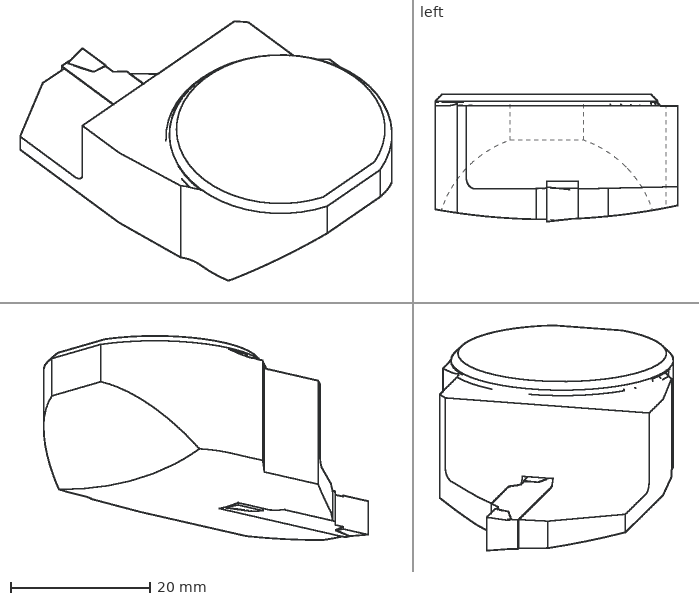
import cadquery as cq
import math


total_height = 18.35
body_top = 16.65
disc_radius = 16.0
disc_chamfer = 1.0
flat_x = 15.1
root_flare = 0.5
flare_overlap = 0.55

wall_x = -21.5
block_back_y = 12.8
front_y = -18.85
blade_tip_x = -40.05
relief_start_z = 11.8
neck_x = -3.0
neck_y = -17.1
bottom_radius = 89.75
bottom_low_z = 0.35
ledge_z = 4.7
ledge_rise = 0.35
ledge_fillet = 1.55

insert_tip_x = -41.0
insert_half_length = 12.5
insert_front_y = -4.55
insert_bulge_y = 1.45
bulge_half_outer = 6.15
bulge_half_inner = 4.8
insert_top = 4.8
pocket_roof_z = 5.85
tip_setback = 0.4
tip_break_y = -3.05
tip_length = 4.8
tip_inner_length = 4.45
tip_inner_y = -2.0
tip_corner_length = 0.7
tip_corner_y = -3.5
tip_high_z = 5.0
tip_drop = 0.5
insert_mid_x = insert_tip_x + insert_half_length

margin = 5.6
x_start = insert_tip_x - margin
x_span = flat_x - x_start + margin


def under_arc_space():
    """Cylinder whose underside is the curved bottom of the holder and insert."""
    return (
        cq.Workplane("YZ", origin=(x_start, 0, 0))
        .center(0, bottom_low_z + bottom_radius)
        .circle(bottom_radius)
        .extrude(x_span)
    )


def insert_prism(bottom, top):
    """Plan outline of the double-ended insert, extruded between two heights."""
    half_length = insert_half_length
    shoulder = half_length - tip_setback
    outline = [
        (-half_length, 0),
        (-bulge_half_outer, 0),
        (-bulge_half_inner, insert_bulge_y),
        (bulge_half_inner, insert_bulge_y),
        (bulge_half_outer, 0),
        (half_length, 0),
        (shoulder, tip_break_y),
        (shoulder, insert_front_y),
        (-shoulder, insert_front_y),
        (-shoulder, tip_break_y),
    ]
    return (
        cq.Workplane("XY", origin=(insert_mid_x, 0, bottom))
        .polyline(outline)
        .close()
        .extrude(top - bottom)
    )


def holder_blank():
    """Plan outline of the block and blade, up to the block top."""
    neck_drop = -disc_radius - neck_y
    neck_radius = (neck_x**2 + neck_drop**2) / (2 * neck_drop)
    neck_half_angle = math.asin(-neck_x / neck_radius) / 2
    neck_mid = (
        -neck_radius * math.sin(neck_half_angle),
        -disc_radius - neck_radius * (1 - math.cos(neck_half_angle)),
    )
    flat_half = math.sqrt(disc_radius**2 - flat_x**2)
    arc_mid = disc_radius / math.sqrt(2)
    return (
        cq.Workplane("XY")
        .moveTo(0, disc_radius)
        .lineTo(-6.5, disc_radius)
        .lineTo(-9.65, block_back_y)
        .lineTo(-19.95, block_back_y)
        .lineTo(-29.85, 4.5)
        .lineTo(-32.9, insert_bulge_y)
        .lineTo(-32.9, insert_front_y / 2)
        .lineTo(blade_tip_x, insert_front_y / 2)
        .lineTo(blade_tip_x, -8.85)
        .lineTo(-34.4, front_y)
        .lineTo(-13.9, front_y)
        .lineTo(neck_x, neck_y)
        .threePointArc(neck_mid, (0, -disc_radius))
        .threePointArc((arc_mid, -arc_mid), (flat_x, -flat_half))
        .lineTo(flat_x, flat_half)
        .threePointArc((arc_mid, arc_mid), (0, disc_radius))
        .close()
        .extrude(body_top)
    )


def blade_clearance():
    """Space above the blade, with a rounded root where it meets the wall."""
    back_y = disc_radius + margin
    slope = ledge_rise / (insert_front_y - front_y)
    far_y = front_y - margin
    far_z = ledge_z + slope * (insert_front_y - far_y)
    profile = [
        (back_y, ledge_z),
        (insert_front_y, ledge_z),
        (far_y, far_z),
        (far_y, total_height),
        (back_y, total_height),
    ]
    space = (
        cq.Workplane("YZ", origin=(x_start, 0, 0))
        .polyline(profile)
        .close()
        .extrude(wall_x - x_start)
    )
    return space.faces(">X").edges("not |Z").edges("not >Z").fillet(ledge_fillet)


def disc():
    """Chamfered disc with a flat, standing on the block."""
    plate = (
        cq.Workplane("XY", origin=(0, 0, body_top))
        .circle(disc_radius)
        .extrude(total_height - body_top)
        .faces(">Z")
        .chamfer(disc_chamfer)
    )
    beyond_flat = (
        cq.Workplane("XZ")
        .polyline([
            (flat_x, 0),
            (flat_x, total_height - disc_chamfer),
            (flat_x - disc_chamfer, total_height),
            (flat_x + margin, total_height),
            (flat_x + margin, 0),
        ])
        .close()
        .extrude(disc_radius, both=True)
    )
    return plate.cut(beyond_flat)


def disc_flare(blank):
    """Concave ring around the disc foot, kept within the block outline."""
    middle = root_flare * (1 - math.sqrt(0.5))
    ring = (
        cq.Workplane("XZ")
        .moveTo(disc_radius - flare_overlap, body_top)
        .lineTo(disc_radius + root_flare, body_top)
        .threePointArc((disc_radius + middle, body_top + middle), (disc_radius, body_top + root_flare))
        .lineTo(disc_radius - flare_overlap, body_top + root_flare)
        .close()
        .revolve(360, (0, 0, 0), (0, 1, 0))
    )
    return ring.intersect(blank.translate((0, 0, body_top)))


def relief():
    """Wedge removed below the flat at 45 degrees."""
    return (
        cq.Workplane("XZ")
        .polyline([
            (flat_x + margin, relief_start_z + margin),
            (flat_x - relief_start_z - margin, -margin),
            (flat_x + margin, -margin),
        ])
        .close()
        .extrude(2 * disc_radius, both=True)
    )


def make_holder():
    blank = holder_blank()
    block = blank.cut(blade_clearance()).union(disc()).union(disc_flare(blank))
    block = block.intersect(under_arc_space()).cut(relief())
    return block.cut(insert_prism(-margin, pocket_roof_z))


def tip_column():
    """Vertical column over the plan of one cutting tip."""
    return (
        cq.Workplane("XY", origin=(insert_tip_x, 0, -margin))
        .polyline([
            (0, 0),
            (tip_length, 0),
            (tip_inner_length, tip_inner_y),
            (tip_corner_length, tip_corner_y),
            (tip_setback, tip_break_y),
        ])
        .close()
        .extrude(total_height)
    )


def tip_slab():
    """Slab with parallel faces inclined along Y, top and bottom of a tip."""
    return (
        cq.Workplane("YZ", origin=(x_start, 0, 0))
        .polyline([
            (0, 0),
            (insert_front_y, tip_drop),
            (insert_front_y, tip_high_z - tip_drop),
            (0, tip_high_z),
        ])
        .close()
        .extrude(x_span)
    )


def make_insert():
    bar = insert_prism(0, insert_top).intersect(under_arc_space())
    column = tip_column()
    tip = column.intersect(tip_slab())
    mirror_base = (insert_mid_x, 0, 0)
    for region, end in (
        (column, tip),
        (column.mirror("YZ", mirror_base), tip.mirror("YZ", mirror_base)),
    ):
        bar = bar.cut(region).union(end)
    return bar


holder = make_holder()
insert = make_insert()
result = cq.Compound.makeCompound([holder.solids().val(), insert.solids().val()])